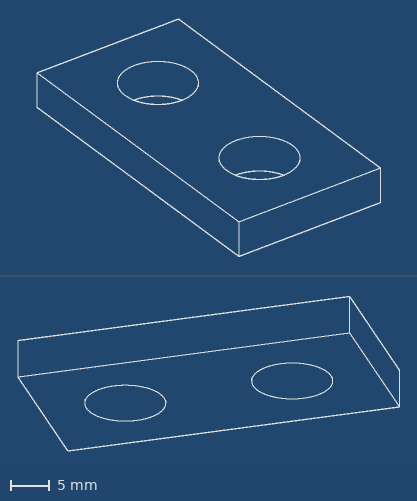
import cadquery as cq

length = 44.45
width = 22.35
thickness = 5.25

hole_diameter = 10.4
hole_spacing = 22.35

plate = cq.Workplane("XY").box(length, width, thickness)

result = (
    plate.faces(">Z")
    .workplane()
    .rarray(hole_spacing, 0.45, 2, 1)
    .hole(hole_diameter)
)